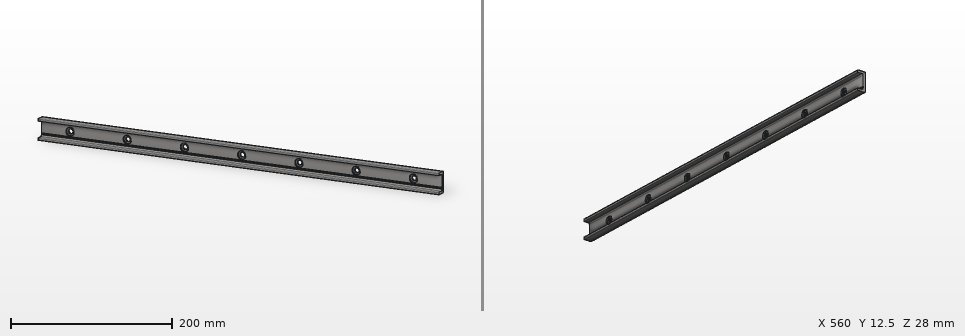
import cadquery as cq

length = 560.0
depth = 12.5
height = 28.0
web = 4.0
flange = 3.5
back_radius = 1.5
root_radius = 1.5
tip_radius = 0.5

groove_z = -7.0
groove_width = 2.0
groove_depth = 0.5

hole_count = 7
hole_pitch = length / hole_count
hole_diameter = 6.0
bore_diameter = 11.0
bore_depth = 2.0

back_y = depth / 2
tip_y = -depth / 2
web_y = back_y - web


def make_channel():
    bar = cq.Workplane("XY").box(length, depth, height)
    bar = bar.edges("|X and >Y").fillet(back_radius)
    opening_depth = depth - web
    opening = (
        cq.Workplane("XY")
        .box(length, opening_depth, height - 2 * flange)
        .edges("|X and >Y")
        .fillet(root_radius)
        .translate((0, tip_y + opening_depth / 2, 0))
    )
    return bar.cut(opening).faces("<Y").edges("|X").fillet(tip_radius)


def cut_web_groove(body):
    groove = (
        cq.Workplane("YZ", origin=(-length / 2, 0, 0))
        .moveTo(web_y, groove_z - groove_width / 2)
        .lineTo(web_y + groove_depth, groove_z)
        .lineTo(web_y, groove_z + groove_width / 2)
        .close()
        .extrude(length)
    )
    return body.cut(groove)


def cut_mounting_holes(body):
    return (
        body.copyWorkplane(cq.Workplane("XZ", origin=(0, web_y, 0)))
        .rarray(hole_pitch, 5.5, hole_count, 1)
        .cboreHole(hole_diameter, bore_diameter, bore_depth)
    )


result = cut_mounting_holes(cut_web_groove(make_channel()))